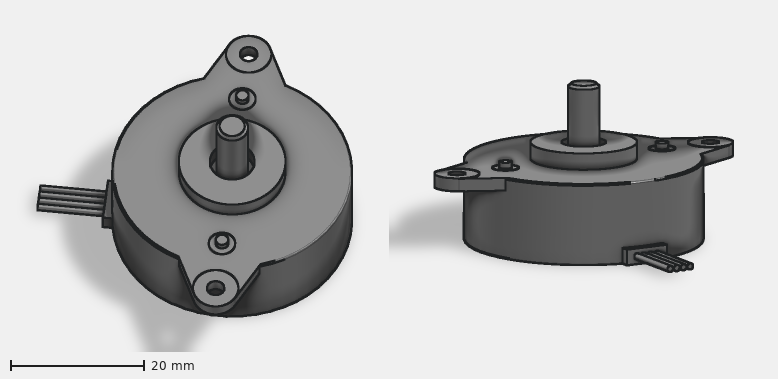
import cadquery as cq
import math

BODY_DIAMETER = 36.0
BODY_HEIGHT = 12.48
BODY_EDGE_RADIUS = 0.25

BOSS_DIAMETER = 16
BOSS_HEIGHT = 2.5
BORE_DIAMETER = 6.7
SHAFT_DIAMETER = 4.75
SHAFT_TOP = 24.0
SHAFT_CHAMFER = 0.5
SHAFT_ROOT = BODY_HEIGHT / 2

EAR_AXIS_ANGLES = (135, -45)
EAR_DIAMETER = 6.8
EAR_RADIUS = EAR_DIAMETER / 2
EAR_HOLE_DIAMETER = 2.6
EAR_OFFSET = 21.9
EAR_THICKNESS = 1.93
EAR_BOTTOM = BODY_HEIGHT - EAR_THICKNESS
EAR_FLANK_ANGLE = 25

PAD_HEIGHT = 0.1

PIN_OFFSET = 13.5
PIN_DIAMETER = 1.9
PIN_HEIGHT = 1.0
PIN_PAD_DIAMETER = 4.0

CABLE_ANGLE = 225
CONNECTOR_WIDTH = 6.9
CONNECTOR_BOTTOM = 0.1
CONNECTOR_HEIGHT = 2.42
CONNECTOR_REACH = 19.13
CONNECTOR_ROOT = 14.35
WIRE_COUNT = 4
WIRE_DIAMETER = 1.0
WIRE_PITCH = 1.15
WIRE_REACH = 29.15
WIRE_AXIS_HEIGHT = CONNECTOR_BOTTOM + CONNECTOR_HEIGHT / 2


def cylinder(diameter, bottom, height, x=0):
    """Upright cylinder centred at (x, 0)."""
    return cq.Workplane("XY", origin=(x, 0, bottom)).circle(diameter / 2).extrude(height)


def turn(shape, angle):
    """Turn a shape built along +X about the motor axis."""
    return shape.rotate((0, 0, 0), (0, 0, 1), angle)


def make_body():
    body = cylinder(BODY_DIAMETER, 0, BODY_HEIGHT)
    return body.faces("<Z or >Z").edges().fillet(BODY_EDGE_RADIUS)


def make_boss():
    """Bored pilot boss standing on the body."""
    boss = cylinder(BOSS_DIAMETER, BODY_HEIGHT, BOSS_HEIGHT)
    return boss.cut(cylinder(BORE_DIAMETER, BODY_HEIGHT, BOSS_HEIGHT))


def make_shaft():
    shaft = cylinder(SHAFT_DIAMETER, SHAFT_ROOT, SHAFT_TOP - SHAFT_ROOT)
    return shaft.faces(">Z").edges().chamfer(SHAFT_CHAMFER)


def make_ear():
    """Drilled lug with a round pad on top, whose tangent flanks widen toward the body and end inside it."""
    flank = math.radians(EAR_FLANK_ANGLE)
    tangent_x = EAR_OFFSET + EAR_RADIUS * math.sin(flank)
    tangent_y = EAR_RADIUS * math.cos(flank)
    root_x = EAR_OFFSET / 2
    root_y = tangent_y + (tangent_x - root_x) * math.tan(flank)
    lug = (
        cq.Workplane("XY", origin=(0, 0, EAR_BOTTOM))
        .moveTo(root_x, -root_y)
        .lineTo(tangent_x, -tangent_y)
        .threePointArc((EAR_OFFSET + EAR_RADIUS, 0), (tangent_x, tangent_y))
        .lineTo(root_x, root_y)
        .close()
        .extrude(EAR_THICKNESS)
    )
    pad = cylinder(EAR_DIAMETER, BODY_HEIGHT, PAD_HEIGHT, EAR_OFFSET)
    hole = cylinder(EAR_HOLE_DIAMETER, EAR_BOTTOM, EAR_THICKNESS + PAD_HEIGHT, EAR_OFFSET)
    return lug.union(pad).cut(hole)


def make_pin():
    pad = cylinder(PIN_PAD_DIAMETER, BODY_HEIGHT, PAD_HEIGHT, PIN_OFFSET)
    return pad.union(cylinder(PIN_DIAMETER, BODY_HEIGHT, PIN_HEIGHT, PIN_OFFSET))


def make_connector():
    """Rectangular housing rooted in the body, with a row of wires leaving its outer face."""
    length = CONNECTOR_REACH - CONNECTOR_ROOT
    connector = cq.Workplane("XY", origin=(CONNECTOR_ROOT, 0, CONNECTOR_BOTTOM)).box(
        length, CONNECTOR_WIDTH, CONNECTOR_HEIGHT, centered=(False, True, False)
    )
    for index in range(WIRE_COUNT):
        wire_y = (index - (WIRE_COUNT - 1) / 2) * WIRE_PITCH
        wire = (
            cq.Workplane("YZ", origin=(CONNECTOR_ROOT, wire_y, WIRE_AXIS_HEIGHT))
            .circle(WIRE_DIAMETER / 2)
            .extrude(WIRE_REACH - CONNECTOR_ROOT)
        )
        connector = connector.union(wire)
    return connector


result = make_body().union(make_boss()).union(make_shaft())
for ear_angle in EAR_AXIS_ANGLES:
    result = result.union(turn(make_ear(), ear_angle))
    result = result.union(turn(make_pin(), ear_angle))
result = result.union(turn(make_connector(), CABLE_ANGLE))